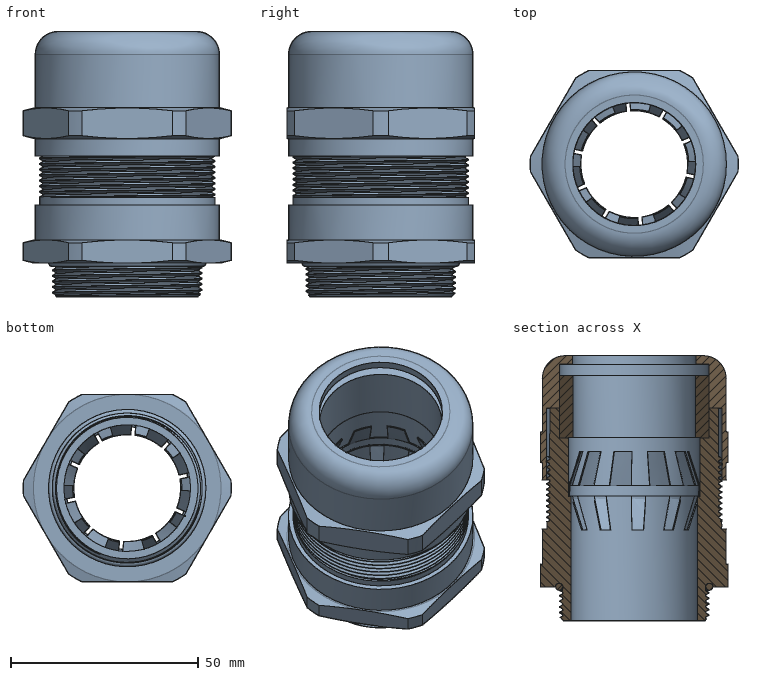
import cadquery as cq
import math

TOTAL_HEIGHT = 70.8
LOWER_HEX_BOTTOM = 9.0
LOWER_HEX_TOP = 15.15
COLLAR_TOP = 24.5
SHANK_TOP = 26.55
CAP_BOTTOM = 37.5
UPPER_HEX_BOTTOM = 42.1
UPPER_HEX_TOP = 50.45
CAP_SHOULDER = 56.6

HEX_ACROSS_FLATS = 50.0
HEX_ACROSS_CORNERS = 55.55
HEX_CHAMFER_ANGLE = 15.0

THREAD_PITCH = 1.5
GROOVE_ROOT_WIDTH = 0.35
THREAD_HALF_ANGLE = 30.0
GROOVE_OVERCUT = 0.085
GROOVE_RUNOUT = 0.7
GROOVE_START_ANGLE = 45.0
BODY_THREAD_DIAMETER = 46.85
BODY_THREAD_ROOT = 45.2
BODY_THREAD_TOP = 43.9
BODY_THREAD_TURN = 150.0
ENTRY_THREAD_DIAMETER = 40.0
ENTRY_THREAD_ROOT = 38.3
ENTRY_THREAD_TURN = 230.0
ENTRY_THREAD_CHAMFER = 1.1

CAP_DIAMETER = 49.2
CAP_ROUNDING = 6.15
CAP_MOUTH_DIAMETER = 32.85
CAP_LIP_THICKNESS = 2.4

SEAL_DIAMETER = 39.7
SEAL_BORE = 32.7
SEAL_TOP = 65.45
SEAL_BOTTOM = 48.8

BODY_BORE = 33.75
SPRING_SEAT_DIAMETER = 35.0
SPRING_SEAT = 33.25

SPRING_BAND_HEIGHT = 2.8
SPRING_THICKNESS = 0.35
SPRING_TIP_RADIUS = 14.2
FINGER_LEAN = 18.0
FINGER_PAIRS = 10
FINGER_SLOT_WIDTH = 1.05
FIRST_SLOT_ANGLE = 24.0
HANGING_FINGER_SWEEP = 14.5

O_RING_SECTION = 1.85


def cylinder(diameter, bottom, top):
    """Solid upright cylinder between two heights."""
    return cq.Workplane("XY").workplane(offset=bottom).circle(diameter / 2).extrude(top - bottom)


def hexagon(flat_diameter, bottom, top):
    """Hexagon with turned corners, chamfered at both ends outside flat_diameter."""
    across_points = HEX_ACROSS_FLATS / math.cos(math.pi / 6)
    prism = cq.Workplane("XY").workplane(offset=bottom).polygon(6, across_points).extrude(top - bottom)
    flat_radius = flat_diameter / 2
    corner_radius = HEX_ACROSS_CORNERS / 2
    drop = (corner_radius - flat_radius) * math.tan(math.radians(HEX_CHAMFER_ANGLE))
    turned_envelope = (
        cq.Workplane("XZ")
        .moveTo(0, bottom)
        .lineTo(flat_radius, bottom)
        .lineTo(corner_radius, bottom + drop)
        .lineTo(corner_radius, top - drop)
        .lineTo(flat_radius, top)
        .lineTo(0, top)
        .close()
        .revolve(360, (0, 0, 0), (0, 1, 0))
    )
    return prism.intersect(turned_envelope)


def threaded_rod(diameter, root_diameter, bottom, top, turn, lead_in=0):
    """Rod with a right-hand helical V groove that runs out past both ends.

    The finished rod is rotated by turn, which sets where the thread starts.
    A lead_in above zero chamfers the lower rim before the groove is cut.
    """
    rod = cylinder(diameter, bottom, top)
    if lead_in > 0:
        rod = rod.faces("<Z").chamfer(lead_in)

    root_radius = root_diameter / 2
    outer_radius = diameter / 2 + GROOVE_OVERCUT
    half_root = GROOVE_ROOT_WIDTH / 2
    flank_rise = (outer_radius - root_radius) * math.tan(math.radians(THREAD_HALF_ANGLE))
    half_mouth = half_root + flank_rise
    helix = cq.Wire.makeHelix(THREAD_PITCH, top - bottom + 2 * GROOVE_RUNOUT, root_radius)
    groove = (
        cq.Workplane("XZ")
        .moveTo(root_radius, -half_root)
        .lineTo(outer_radius, -half_mouth)
        .lineTo(outer_radius, half_mouth)
        .lineTo(root_radius, half_root)
        .close()
        .sweep(cq.Workplane(helix), isFrenet=True)
        .translate((0, 0, bottom - GROOVE_RUNOUT))
        .rotate((0, 0, 0), (0, 0, 1), GROOVE_START_ANGLE)
    )
    return rod.cut(groove).rotate((0, 0, 0), (0, 0, 1), turn)


def make_cap_nut():
    cap = cylinder(CAP_DIAMETER, CAP_BOTTOM, TOTAL_HEIGHT)
    cap = cap.faces(">Z").edges().fillet(CAP_ROUNDING)
    cap = cap.union(hexagon(CAP_DIAMETER, UPPER_HEX_BOTTOM, UPPER_HEX_TOP))
    cap = cap.cut(cylinder(BODY_THREAD_DIAMETER, CAP_BOTTOM, CAP_SHOULDER))
    cap = cap.cut(cylinder(SEAL_DIAMETER, CAP_SHOULDER, TOTAL_HEIGHT - CAP_LIP_THICKNESS))
    return cap.cut(cylinder(CAP_MOUTH_DIAMETER, CAP_SHOULDER, TOTAL_HEIGHT))


def make_body():
    neck_bottom = LOWER_HEX_BOTTOM - O_RING_SECTION / 2
    body = threaded_rod(
        ENTRY_THREAD_DIAMETER, ENTRY_THREAD_ROOT, 0, neck_bottom, ENTRY_THREAD_TURN, ENTRY_THREAD_CHAMFER
    )
    body = body.union(cylinder(ENTRY_THREAD_ROOT, neck_bottom, LOWER_HEX_BOTTOM))

    body = body.union(hexagon(HEX_ACROSS_FLATS, LOWER_HEX_BOTTOM, LOWER_HEX_TOP))
    body = body.union(cylinder(CAP_DIAMETER, LOWER_HEX_TOP, COLLAR_TOP))
    body = body.union(cylinder(BODY_THREAD_DIAMETER, COLLAR_TOP, SHANK_TOP))
    cap_thread = threaded_rod(
        BODY_THREAD_DIAMETER, BODY_THREAD_ROOT, SHANK_TOP, BODY_THREAD_TOP, BODY_THREAD_TURN
    )
    body = body.union(cap_thread)
    body = body.union(cylinder(BODY_THREAD_ROOT, BODY_THREAD_TOP, CAP_SHOULDER))

    body = body.cut(cylinder(BODY_BORE, 0, SPRING_SEAT))
    body = body.cut(cylinder(SPRING_SEAT_DIAMETER, SPRING_SEAT, SEAL_BOTTOM))
    body = body.cut(cylinder(SEAL_DIAMETER, SEAL_BOTTOM, CAP_SHOULDER))
    return body.cut(make_o_ring())


def make_seal():
    return cylinder(SEAL_DIAMETER, SEAL_BOTTOM, SEAL_TOP).cut(cylinder(SEAL_BORE, SEAL_BOTTOM, SEAL_TOP))


def finger_sector(direction, start_angle, sweep):
    """Sector of the leaning finger wall; direction is 1 for rising and -1 for hanging fingers."""
    outer = SPRING_SEAT_DIAMETER / 2
    inner = outer - SPRING_THICKNESS
    length = (inner - SPRING_TIP_RADIUS) / math.tan(math.radians(FINGER_LEAN))
    root = SPRING_SEAT + (1 + direction) * SPRING_BAND_HEIGHT / 2
    tip = root + direction * length
    return (
        cq.Workplane("XZ")
        .moveTo(inner, root)
        .lineTo(outer, root)
        .lineTo(SPRING_TIP_RADIUS + SPRING_THICKNESS, tip)
        .lineTo(SPRING_TIP_RADIUS, tip)
        .close()
        .revolve(sweep, (0, 0, 0), (0, 1, 0))
        .rotate((0, 0, 0), (0, 0, 1), start_angle)
    )


def make_contact_spring():
    """Band with pairs of spring fingers, one hanging and one rising, parted by slots."""
    outer = SPRING_SEAT_DIAMETER
    inner = outer - 2 * SPRING_THICKNESS
    band_top = SPRING_SEAT + SPRING_BAND_HEIGHT
    spring = cylinder(outer, SPRING_SEAT, band_top).cut(cylinder(inner, SPRING_SEAT, band_top))
    pair_angle = 360 / FINGER_PAIRS
    slot = cq.Workplane("XY").box(outer, FINGER_SLOT_WIDTH, TOTAL_HEIGHT, centered=(False, True, True))
    slot = slot.translate((0, 0, SPRING_SEAT))
    for pair in range(FINGER_PAIRS):
        start = FIRST_SLOT_ANGLE + pair * pair_angle
        split = start + HANGING_FINGER_SWEEP
        hanging = finger_sector(-1, start, HANGING_FINGER_SWEEP)
        rising = finger_sector(1, split, pair_angle - HANGING_FINGER_SWEEP)
        hanging = hanging.cut(slot.rotate((0, 0, 0), (0, 0, 1), start))
        rising = rising.cut(slot.rotate((0, 0, 0), (0, 0, 1), start + pair_angle))
        spring = spring.union(hanging).union(rising)
    return spring


def make_o_ring():
    """Ring around the neck, half sunk into the underside of the lower hexagon."""
    section_radius = O_RING_SECTION / 2
    ring_radius = ENTRY_THREAD_ROOT / 2 + section_radius
    ring = cq.Solid.makeTorus(ring_radius, section_radius)
    return cq.Workplane("XY").add(ring.translate(cq.Vector(0, 0, LOWER_HEX_BOTTOM)))


cap_nut = make_cap_nut()
body = make_body()
seal = make_seal()
contact_spring = make_contact_spring()
o_ring = make_o_ring()

result = cq.Compound.makeCompound(
    [cap_nut.val(), body.val(), seal.val(), contact_spring.val(), o_ring.val()]
)